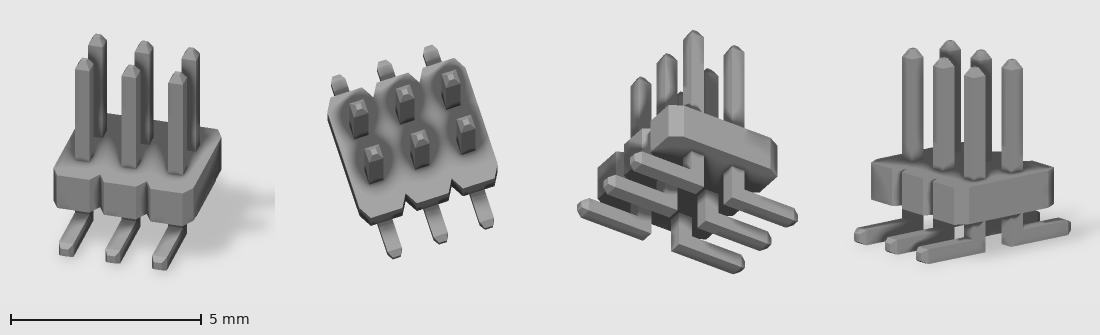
import cadquery as cq


pitch = 1.27
columns = 3
rows = 2

body_length = columns * pitch
body_width = 3.395
body_height = 1.0
body_bottom = 1.0
corner_cut_x = 0.2
corner_cut_y = 0.345

pin_size = 0.4
pin_top = 5.0
foot_span = 5.1
mating_tip_length = 0.22
mating_tip_flat = 0.15
foot_tip_length = 0.175
foot_tip_flat = 0.215


def make_body():
    """Block with angled corners and a V notch between neighbouring columns."""
    left = -body_length / 2
    edge = body_width / 2
    shoulder = edge - corner_cut_y
    front_points = [(left, -shoulder)]
    for column in range(columns):
        start = left + column * pitch
        end = start + pitch
        front_points.append((start + corner_cut_x, -edge))
        front_points.append((end - corner_cut_x, -edge))
        front_points.append((end, -shoulder))
    back_points = [(x, -y) for x, y in reversed(front_points)]
    return (
        cq.Workplane("XY", origin=(0, 0, body_bottom))
        .polyline(front_points + back_points)
        .close()
        .extrude(body_height)
    )


def make_bar(origin, direction, length, tip_length, tip_flat):
    """Square bar starting at origin, its far end tapering to a small square flat."""
    start = cq.Plane(origin=origin, xDir=(1, 0, 0), normal=direction)
    shank_length = length - tip_length
    shank = cq.Workplane(start).rect(pin_size, pin_size).extrude(shank_length)
    tip = (
        cq.Workplane(start)
        .workplane(offset=shank_length)
        .rect(pin_size, pin_size)
        .workplane(offset=tip_length)
        .rect(tip_flat, tip_flat)
        .loft(ruled=True)
    )
    return shank.union(tip)


def make_pin(x, y):
    """L-shaped pin: an upright post and a foot pointing away from the body's middle."""
    outward = 1 if y > 0 else -1
    post = make_bar((x, y, 0), (0, 0, 1), pin_top, mating_tip_length, mating_tip_flat)
    foot_start = y - outward * pin_size / 2
    foot_length = foot_span / 2 - abs(foot_start)
    foot = make_bar(
        (x, foot_start, pin_size / 2),
        (0, outward, 0),
        foot_length,
        foot_tip_length,
        foot_tip_flat,
    )
    return post.union(foot)


result = make_body()
for column in range(columns):
    for row in range(rows):
        pin_x = (column - (columns - 1) / 2) * pitch
        pin_y = (row - (rows - 1) / 2) * pitch
        result = result.union(make_pin(pin_x, pin_y))